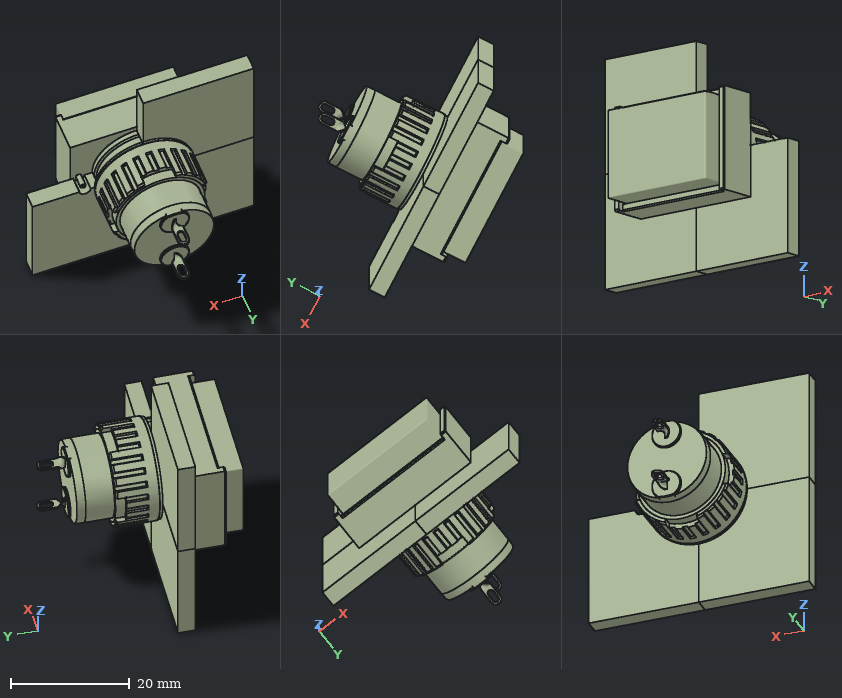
import cadquery as cq
import math

OVERLAP = 0.4
OVERALL_DEPTH = 33.3

PANEL_SIDE = 40.0
PANEL_THICKNESS = 3.0
PANEL_HOLE_DIAMETER = 16.05
PANEL_QUARTERS = [(-1, 1), (-1, -1), (1, -1)]

PIN_OFFSET = 10.5
PIN_DIAMETER = 1.0
PIN_END = 2.25
PIN_CHAMFER = 0.2
PIN_HOLE_DIAMETER = 2.0

BEZEL_WIDTH = 24.0
BEZEL_HEIGHT = 18.1
BEZEL_FRONT = -7.2
BEZEL_BACK = -0.1
BEZEL_CHAMFER_DEPTH = 0.3
BEZEL_SIDE_CHAMFER = 0.1
BEZEL_TOP_CHAMFER = 0.25
RAIL_HEIGHT = 1.0
OPENING_WIDTH = 21.9
OPENING_HEIGHT = 15.7
OPENING_FLOOR = -3.0

BUTTON_WIDTH = 21.4
BUTTON_HEIGHT = 15.35
BUTTON_FRONT = -10.5
BUTTON_FILLET = 0.3

THREAD_DIAMETER = 16.0
PILOT_END = 0.75
UNDERCUT_DIAMETER = 15.4
UNDERCUT_END = 5.45
BODY_DIAMETER = 14.6
BODY_END = 15.95

NUT_DIAMETER = 17.9
NUT_FOOT_DIAMETER = 17.6
NUT_FOOT_HEIGHT = 0.5
NUT_START = PANEL_THICKNESS
NUT_END = 11.0
NUT_CHAMFER = 0.3
GRIP_COUNT = 24
GRIP_START = 5.45
GRIP_WIDTH = 1.1
GRIP_DEPTH = 0.3
GRIP_TAPER = 29.0
NOTCH_COUNT = 4
NOTCH_START = 9.25
NOTCH_WIDTH = 5.7

CAP_FRONT_DIAMETER = BODY_DIAMETER
CAP_DRAFT = 2.0
CAP_END = 17.5
CAP_CHAMFER_DEPTH = 0.3
CAP_CHAMFER_INSET = 0.1
BOSS_DIAMETER = 5.2
BOSS_END = 17.9
BOSS_CHAMFER_DEPTH = 0.2
BOSS_CHAMFER_INSET = 0.1

TERMINAL_OFFSET = 4.9
TERMINAL_WIDTH = 1.95
TERMINAL_THICKNESS = 0.4
TERMINAL_TIP = BUTTON_FRONT + OVERALL_DEPTH
TWIST_END = 19.25
TWIST_ANGLE = 90.0
EYE_WIDTH = 1.1
EYE_MARGIN = 0.45
EYE_LENGTH = 2.35


def y_plane(y):
    """Workplane at the given Y, facing +Y; its local y axis is +Z and its local x axis is -X."""
    return cq.Workplane(cq.Plane(origin=(0, y, 0), xDir=(-1, 0, 0), normal=(0, 1, 0)))


def cylinder(diameter, start, end, x=0, z=0):
    """Cylinder along Y between two Y positions."""
    return y_plane(start).center(-x, z).circle(diameter / 2).extrude(end - start)


def block(width, height, start, end):
    """Centred rectangular block between two Y positions."""
    return y_plane(start).rect(width, height).extrude(end - start)


def turned(points):
    """Solid of revolution about Y from (radius, y) points."""
    return cq.Workplane("XY").polyline(points).close().revolve(360, (0, 0, 0), (0, 1, 0))


def make_panel_quarter(x_sign, z_sign):
    side = PANEL_SIDE / 2
    quarter = (
        y_plane(0)
        .center(-x_sign * side / 2, z_sign * side / 2)
        .rect(side, side)
        .extrude(PANEL_THICKNESS)
    )
    quarter = quarter.cut(cylinder(PANEL_HOLE_DIAMETER, 0, PANEL_THICKNESS))
    return quarter.cut(cylinder(PIN_HOLE_DIAMETER, 0, PANEL_THICKNESS, x=PIN_OFFSET))


def bezel_body(front):
    """Block whose front edges are chamfered more at top and bottom than at the sides."""
    shoulder = front + BEZEL_CHAMFER_DEPTH
    front_width = BEZEL_WIDTH - 2 * BEZEL_SIDE_CHAMFER
    front_height = BEZEL_HEIGHT - 2 * BEZEL_TOP_CHAMFER
    nose = (
        y_plane(front)
        .rect(front_width, front_height)
        .workplane(offset=BEZEL_CHAMFER_DEPTH)
        .rect(BEZEL_WIDTH, BEZEL_HEIGHT)
        .loft(ruled=True)
    )
    return block(BEZEL_WIDTH, BEZEL_HEIGHT, shoulder, BEZEL_BACK).union(nose)


def make_housing():
    slot_floor = BEZEL_FRONT + RAIL_HEIGHT
    slot = block(OPENING_WIDTH, BEZEL_HEIGHT + OVERLAP, BEZEL_FRONT, 0)
    rails = bezel_body(BEZEL_FRONT).cut(slot)
    centre = bezel_body(slot_floor).intersect(slot)
    opening = block(OPENING_WIDTH, OPENING_HEIGHT, BEZEL_FRONT, OPENING_FLOOR)
    bezel = rails.union(centre).cut(opening)

    thread_radius = THREAD_DIAMETER / 2
    undercut_radius = UNDERCUT_DIAMETER / 2
    body_radius = BODY_DIAMETER / 2
    cone_end = PILOT_END + thread_radius - undercut_radius
    barrel = turned([
        (0, BEZEL_BACK),
        (thread_radius, BEZEL_BACK),
        (thread_radius, PILOT_END),
        (undercut_radius, cone_end),
        (undercut_radius, UNDERCUT_END),
        (thread_radius, UNDERCUT_END),
        (thread_radius, NUT_END),
        (body_radius, NUT_END),
        (body_radius, BODY_END),
        (0, BODY_END),
    ])
    pin = cylinder(PIN_DIAMETER, BEZEL_BACK, PIN_END, x=PIN_OFFSET).faces(">Y").chamfer(PIN_CHAMFER)
    return bezel.union(barrel).union(pin)


def make_button():
    button = block(BUTTON_WIDTH, BUTTON_HEIGHT, BUTTON_FRONT, OPENING_FLOOR)
    return button.edges("|Y or <Y").fillet(BUTTON_FILLET)


def grip_cutter():
    """Groove with sloping walls, cut inwards from the +Z side of the nut."""
    length = NUT_END + OVERLAP - GRIP_START
    return (
        cq.Workplane(cq.Plane(origin=(0, 0, NUT_DIAMETER / 2), xDir=(1, 0, 0), normal=(0, 0, -1)))
        .center(0, -GRIP_START - length / 2)
        .rect(GRIP_WIDTH, length)
        .extrude(GRIP_DEPTH, taper=GRIP_TAPER)
    )


def notch_cutter():
    """Block through the wall at the rear rim of the nut, on the +Z side."""
    length = NUT_END + OVERLAP - NOTCH_START
    return (
        cq.Workplane("XY")
        .center(0, NOTCH_START + length / 2)
        .rect(NOTCH_WIDTH, length)
        .extrude(NUT_DIAMETER)
    )


def make_nut():
    bore_radius = THREAD_DIAMETER / 2
    foot_radius = NUT_FOOT_DIAMETER / 2
    outer_radius = NUT_DIAMETER / 2
    foot_end = NUT_START + NUT_FOOT_HEIGHT
    nut = turned([
        (bore_radius, NUT_START),
        (foot_radius, NUT_START),
        (foot_radius, foot_end),
        (outer_radius, foot_end),
        (outer_radius, NUT_END - NUT_CHAMFER),
        (outer_radius - NUT_CHAMFER, NUT_END),
        (bore_radius, NUT_END),
    ])
    for i in range(NOTCH_COUNT):
        nut = nut.cut(notch_cutter().rotate((0, 0, 0), (0, 1, 0), i * 360 / NOTCH_COUNT))
    for i in range(GRIP_COUNT):
        nut = nut.cut(grip_cutter().rotate((0, 0, 0), (0, 1, 0), i * 360 / GRIP_COUNT))
    return nut


def cap_radius(y):
    """Radius of the drafted side of the cap at the given Y."""
    return CAP_FRONT_DIAMETER / 2 - (y - BODY_END) * math.tan(math.radians(CAP_DRAFT))


def cap_envelope(end, chamfer_depth, chamfer_inset):
    """Drafted disc from the end of the barrel to the given Y, with a chamfered rear rim."""
    shoulder = end - chamfer_depth
    return turned([
        (0, BODY_END),
        (cap_radius(BODY_END), BODY_END),
        (cap_radius(shoulder), shoulder),
        (cap_radius(shoulder) - chamfer_inset, end),
        (0, end),
    ])


def make_boss(z):
    """Round terminal seat, trimmed to the drafted side of the cap, with a chamfered rear rim."""
    shoulder = BOSS_END - BOSS_CHAMFER_DEPTH
    radius = BOSS_DIAMETER / 2
    boss = (
        cylinder(BOSS_DIAMETER, BODY_END, shoulder, z=z)
        .faces(">Y")
        .workplane(origin=(0, shoulder, z))
        .circle(radius)
        .workplane(offset=BOSS_CHAMFER_DEPTH)
        .circle(radius - BOSS_CHAMFER_INSET)
        .loft(ruled=True)
    )
    return boss.intersect(cap_envelope(BOSS_END, BOSS_CHAMFER_DEPTH, BOSS_CHAMFER_INSET))


def make_cap():
    cap = cap_envelope(CAP_END, CAP_CHAMFER_DEPTH, CAP_CHAMFER_INSET)
    for z in (TERMINAL_OFFSET, -TERMINAL_OFFSET):
        cap = cap.union(make_boss(z))
    return cap


def make_terminal(z):
    """Flat blade with an eye, joined to its foot by a quarter-turn twist."""
    foot = (
        y_plane(BOSS_END)
        .center(0, z)
        .rect(TERMINAL_THICKNESS, TERMINAL_WIDTH)
        .twistExtrude(TWIST_END - BOSS_END, math.copysign(TWIST_ANGLE, z))
    )
    tip_radius = TERMINAL_WIDTH / 2
    shoulder = TERMINAL_TIP - tip_radius
    blade_plane = cq.Workplane("XY", origin=(0, 0, z - TERMINAL_THICKNESS / 2))
    blade = (
        blade_plane.moveTo(-tip_radius, TWIST_END)
        .lineTo(tip_radius, TWIST_END)
        .lineTo(tip_radius, shoulder)
        .threePointArc((0, TERMINAL_TIP), (-tip_radius, shoulder))
        .close()
        .extrude(TERMINAL_THICKNESS)
    )
    eye = (
        blade_plane.center(0, TERMINAL_TIP - EYE_MARGIN - EYE_LENGTH / 2)
        .slot2D(EYE_LENGTH, EYE_WIDTH, 90)
        .extrude(TERMINAL_THICKNESS)
    )
    return foot.union(blade.cut(eye))


panel_quarters = [make_panel_quarter(x_sign, z_sign) for x_sign, z_sign in PANEL_QUARTERS]
housing = make_housing()
button = make_button()
nut = make_nut()
cap = make_cap()
terminals = [make_terminal(z) for z in (TERMINAL_OFFSET, -TERMINAL_OFFSET)]

result = cq.Compound.makeCompound([
    *[quarter.val() for quarter in panel_quarters],
    housing.val(),
    button.val(),
    nut.val(),
    cap.val(),
    *[terminal.val() for terminal in terminals],
])